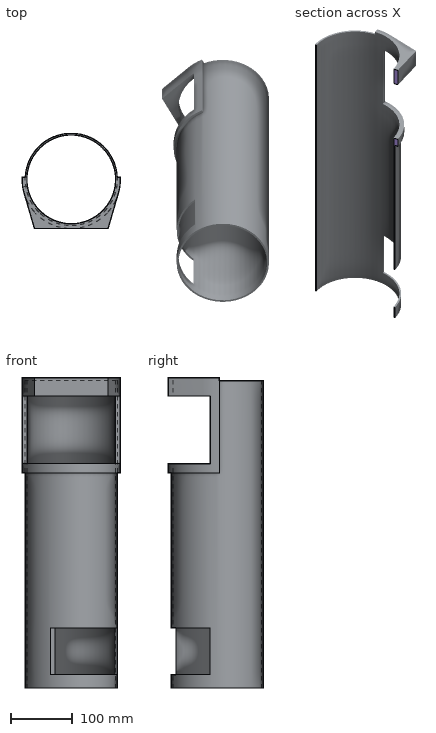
import cadquery as cq
import math

TUBE_OUTER_RADIUS = 150.05 / 2
BORE_RADIUS = 144.16 / 2
TUBE_HEIGHT = 500.0

COLLAR_WALL = 5.0
COLLAR_RADIUS = TUBE_OUTER_RADIUS + COLLAR_WALL
COLLAR_BACK_Y = 3.5
COLLAR_BOTTOM_Z = 350.0
COLLAR_BAND_WIDTH = 15.0
COLLAR_RISE = 5.0
TOP_Z = TUBE_HEIGHT + COLLAR_RISE

HEAD_FRONT_WIDTH = 120.0
HEAD_HEIGHT = 30.0
HEAD_BOTTOM_Z = TOP_Z - HEAD_HEIGHT

UPPER_WINDOW_BOTTOM_Z = COLLAR_BOTTOM_Z + COLLAR_BAND_WIDTH
UPPER_WINDOW_BACK_Y = COLLAR_BACK_Y - COLLAR_BAND_WIDTH

LOWER_WINDOW_BOTTOM_Z = 22.0
LOWER_WINDOW_HEIGHT = 76.0
LOWER_WINDOW_TOP_Z = LOWER_WINDOW_BOTTOM_Z + LOWER_WINDOW_HEIGHT
LOWER_WINDOW_LEFT_BACK_Y = -67.2
LOWER_WINDOW_RIGHT_BACK_Y = -12.0

CUT_MARGIN = 10.0
CUT_REACH = COLLAR_RADIUS + CUT_MARGIN


def cylinder(radius, bottom_z, top_z):
    return cq.Workplane("XY").workplane(offset=bottom_z).circle(radius).extrude(top_z - bottom_z)


def front_block(left_x, back_y, bottom_z, top_z):
    """Block covering everything right of left_x and in front of back_y."""
    corner = (left_x, -CUT_REACH, bottom_z)
    size = (CUT_REACH - left_x, back_y + CUT_REACH, top_z - bottom_z)
    return cq.Workplane("XY").box(*size, centered=False).translate(corner)


def collar():
    ring = cylinder(COLLAR_RADIUS, COLLAR_BOTTOM_Z, TOP_Z)
    return ring.intersect(front_block(-CUT_REACH, COLLAR_BACK_Y, COLLAR_BOTTOM_Z, TOP_Z))


def head():
    half_width = HEAD_FRONT_WIDTH / 2
    tangent_angle = math.pi / 2 - 2 * math.atan(half_width / COLLAR_RADIUS)
    tangent_x = COLLAR_RADIUS * math.cos(tangent_angle)
    tangent_y = -COLLAR_RADIUS * math.sin(tangent_angle)
    outline = [
        (-tangent_x, tangent_y),
        (-half_width, -COLLAR_RADIUS),
        (half_width, -COLLAR_RADIUS),
        (tangent_x, tangent_y),
    ]
    plane = cq.Workplane("XY").workplane(offset=HEAD_BOTTOM_Z)
    return plane.polyline(outline).close().extrude(TOP_Z - HEAD_BOTTOM_Z)


def upper_window():
    return front_block(-CUT_REACH, UPPER_WINDOW_BACK_Y, UPPER_WINDOW_BOTTOM_Z, HEAD_BOTTOM_Z)


def lower_window():
    heights = (LOWER_WINDOW_BOTTOM_Z, LOWER_WINDOW_TOP_Z)
    shallow = front_block(-CUT_REACH, LOWER_WINDOW_LEFT_BACK_Y, *heights)
    deep = front_block(0, LOWER_WINDOW_RIGHT_BACK_Y, *heights)
    return shallow.union(deep)


tube = cylinder(TUBE_OUTER_RADIUS, 0, TUBE_HEIGHT)
bore = cylinder(BORE_RADIUS, 0, TOP_Z)
body = tube.union(collar()).union(head()).cut(bore)
result = body.cut(upper_window()).cut(lower_window())